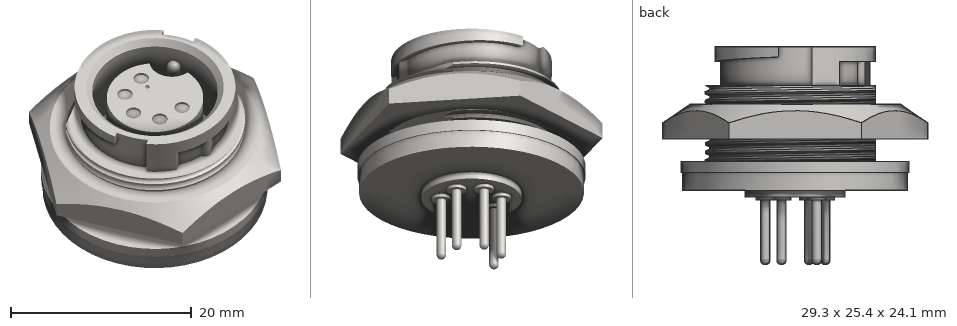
import cadquery as cq
import math

rim_top = 12.70
rim_underside = 11.03
barrel_top = 8.37
nut_top = 6.33
nut_bottom = 2.46
flange_step = -1.24
flange_bottom = -3.20
base_bottom = -3.97
collar_bottom = -4.30
pin_bottom = -11.43

flange_radius = 12.63
flange_lower_radius = 12.45
base_radius = 5.54

thread_radius = 9.97
thread_pitch = 25.4 / 27
thread_depth = 0.541 * thread_pitch
thread_root = thread_radius - thread_depth
crest_width = thread_pitch / 4
groove_width = thread_pitch / 4
thread_overlap = 0.15
crest_height_at_x = 6.64
flat_x = -8.90

nut_across_flats = 25.4
nut_across_corners = nut_across_flats / math.cos(math.pi / 6)
nut_face_radius = 11.65
nut_chamfer_angle = 34.5
nut_turn = -60.0
nut_thread_clearance = 0.38
nut_relief_depth = 1.2
nut_bore_radius = thread_root + nut_thread_clearance

neck_radius = 8.25
rim_radius = 8.90
notch_half_width = 1.83
block_end_x = 4.92
ramp_rise = 0.52
stop_face_x = 7.73
stop_side_y = 4.53
stop_root_x = 6.0
stop_root_y = 2.0
stop_round_x = 6.92
stop_corner_y = 4.06

bore_radius = 6.95
bore_chamfer = 0.66
bore_floor = 4.0
insert_radius = 5.34
insert_top = 11.04
scallop_radius = 2.53
scallop_center_y = 6.07
key_radius = 0.78
key_center_y = 6.64
key_dome_center = 9.44

contact_circle_radius = 3.36
contact_angles = [135 + 54 * i for i in range(5)]
contact_hole_radius = 0.85
contact_hole_depth = 0.30
collar_radius = 1.05
pin_radius = 0.52
mark_circle_radius = 1.89
mark_angle = contact_angles[0]
mark_radius = 0.27


def cylinder(radius, bottom, top, x=0.0, y=0.0):
    return cq.Workplane("XY", origin=(x, y, bottom)).circle(radius).extrude(top - bottom)


def block(x_range, y_range, z_range):
    size = [high - low for low, high in (x_range, y_range, z_range)]
    corner = (x_range[0], y_range[0], z_range[0])
    return cq.Workplane("XY", origin=corner).box(*size, centered=False)


def half_turn(shape):
    return shape.rotate((0, 0, 0), (0, 0, 1), 180)


def polar(radius, angle):
    return radius * math.cos(math.radians(angle)), radius * math.sin(math.radians(angle))


def threaded_rod(root, bottom, top):
    """Core of radius root with a helical ridge, trimmed to the given heights."""
    turns_below = math.ceil((crest_height_at_x - bottom) / thread_pitch) + 1
    start = crest_height_at_x - turns_below * thread_pitch
    helix_height = top + 2 * thread_pitch - start
    foot_half = (thread_pitch - groove_width) / 2
    flank_slope = (foot_half - crest_width / 2) / thread_depth
    buried_half = foot_half + thread_overlap * flank_slope
    inner = root - thread_overlap
    crest = root + thread_depth
    helix = cq.Wire.makeHelix(thread_pitch, helix_height, root, center=cq.Vector(0, 0, start))
    ridge = (
        cq.Workplane("XZ")
        .polyline([
            (inner, start - buried_half),
            (crest, start - crest_width / 2),
            (crest, start + crest_width / 2),
            (inner, start + buried_half),
        ])
        .close()
        .sweep(cq.Workplane(helix), isFrenet=True)
    )
    envelope = cylinder(2 * crest, bottom, top)
    return cylinder(root, bottom, top).union(ridge.intersect(envelope))


def make_barrel():
    barrel = threaded_rod(thread_root, 0, barrel_top)
    reach = 2 * thread_radius
    return barrel.cut(block((-reach, flat_x), (-reach, reach), (0, barrel_top)))


def make_flange():
    upper = cylinder(flange_radius, flange_step, 0)
    lower = cylinder(flange_lower_radius, flange_bottom, flange_step)
    base = cylinder(base_radius, base_bottom, flange_bottom)
    return upper.union(lower).union(base)


def make_nut():
    """Nut whose plain bore bites into the thread crests, with a clear thread at its top."""
    hexagon = (
        cq.Workplane("XY", origin=(0, 0, nut_bottom))
        .polygon(6, nut_across_corners)
        .extrude(nut_top - nut_bottom)
    )
    cone_height = nut_top - nut_bottom
    cone_foot = nut_face_radius + cone_height / math.tan(math.radians(nut_chamfer_angle))
    cone = (
        cq.Workplane("XZ")
        .polyline([(0, nut_bottom), (cone_foot, nut_bottom), (nut_face_radius, nut_top), (0, nut_top)])
        .close()
        .revolve(360, (0, 0), (0, 1))
    )
    nut = hexagon.intersect(cone).rotate((0, 0, 0), (0, 0, 1), nut_turn)
    nut = nut.cut(cylinder(nut_bore_radius, nut_bottom, nut_top))
    relief = threaded_rod(nut_bore_radius, nut_top - nut_relief_depth, nut_top)
    return nut.cut(relief)


def make_ramp_cut():
    """Space below the rim on the -X side, its ceiling rising towards the -Y notch."""
    end_angle = 270 - math.degrees(math.asin(notch_half_width / rim_radius))
    sector = end_angle - 180
    chord = 2 * rim_radius * math.sin(math.radians(sector / 2))
    chord_angle = (180 + end_angle) / 2 + 90
    reach = 2 * rim_radius
    wedge = (
        cq.Workplane("XZ")
        .polyline([
            (0, barrel_top), (chord, barrel_top),
            (chord, rim_underside + ramp_rise), (0, rim_underside),
        ])
        .close()
        .extrude(reach / 2, both=True)
        .rotate((0, 0, 0), (0, 0, 1), chord_angle)
        .translate((-rim_radius, 0, 0))
    )
    quadrant = block((-reach, -notch_half_width), (-reach, 0), (barrel_top, rim_top))
    return wedge.intersect(quadrant).cut(cylinder(neck_radius, barrel_top, rim_top))


def make_rim_half_cuts():
    """Entry notch, ramp and open channel of one bayonet track, on the -Y side."""
    reach = 2 * rim_radius
    full = (barrel_top, rim_top)
    notch = block((-notch_half_width, notch_half_width), (-reach, 0), full)
    notch = notch.cut(cylinder(neck_radius, *full))
    channel = block((block_end_x, reach), (-reach, 0), (barrel_top, rim_underside))
    channel = channel.cut(cylinder(neck_radius, *full))
    return [notch, make_ramp_cut(), channel]


def make_rim():
    rim = cylinder(rim_radius, barrel_top, rim_top)
    for cut in make_rim_half_cuts():
        rim = rim.cut(cut).cut(half_turn(cut))
    stop = (
        cq.Workplane("XY", origin=(0, 0, barrel_top))
        .moveTo(stop_face_x, -stop_corner_y)
        .lineTo(stop_face_x, -stop_root_y)
        .lineTo(stop_root_x, -stop_root_y)
        .lineTo(stop_root_x, -stop_side_y)
        .lineTo(stop_round_x, -stop_side_y)
        .tangentArcPoint((stop_face_x, -stop_corner_y), relative=False)
        .close()
        .extrude(rim_underside - barrel_top)
    )
    return rim.union(stop).union(half_turn(stop))


def make_bore():
    return (
        cq.Workplane("XZ")
        .polyline([
            (0, bore_floor), (bore_radius, bore_floor), (bore_radius, rim_top - bore_chamfer),
            (bore_radius + bore_chamfer, rim_top), (0, rim_top),
        ])
        .close()
        .revolve(360, (0, 0), (0, 1))
    )


def make_insert():
    insert = cylinder(insert_radius, bore_floor, insert_top)
    insert = insert.cut(cylinder(scallop_radius, bore_floor, insert_top, y=scallop_center_y))
    for angle in contact_angles:
        x, y = polar(contact_circle_radius, angle)
        insert = insert.cut(
            cylinder(contact_hole_radius, insert_top - contact_hole_depth, insert_top, x, y)
        )
    mark_x, mark_y = polar(mark_circle_radius, mark_angle)
    mark = cq.Workplane("XY", origin=(mark_x, mark_y, insert_top)).sphere(mark_radius)
    return insert.cut(mark)


def make_key():
    key = cylinder(key_radius, bore_floor, key_dome_center, y=key_center_y)
    return key.union(cq.Workplane("XY", origin=(0, key_center_y, key_dome_center)).sphere(key_radius))


def make_pin(angle):
    x, y = polar(contact_circle_radius, angle)
    dome_center = pin_bottom + pin_radius
    collar = cylinder(collar_radius, collar_bottom, base_bottom, x, y)
    shank = cylinder(pin_radius, dome_center, base_bottom, x, y)
    dome = cq.Workplane("XY", origin=(x, y, dome_center)).sphere(pin_radius)
    return collar.union(shank).union(dome)


result = make_barrel().union(make_flange()).union(make_rim()).cut(make_bore())
result = result.union(make_insert()).union(make_key()).union(make_nut())
for pin_angle in contact_angles:
    result = result.union(make_pin(pin_angle))